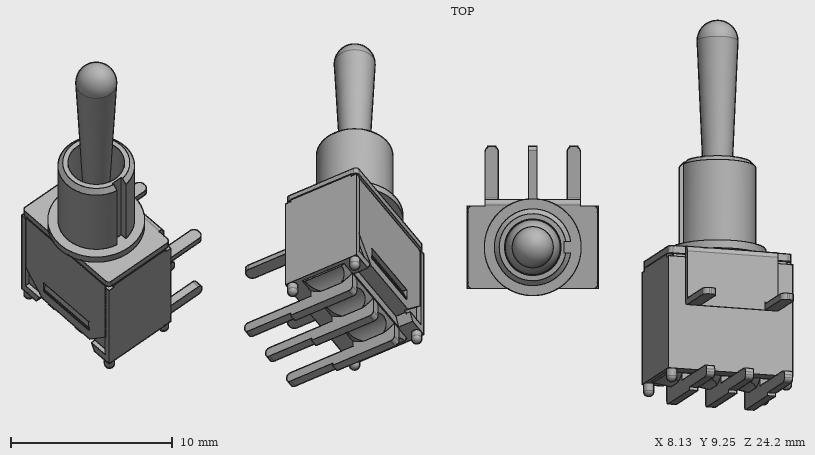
import cadquery as cq
import math


HOUSING_X = 8.13
HOUSING_Y = 5.12
HOUSING_TOP = 7.3
WALL_X = 0.36
CORNER_NOTCH_Y = 0.39
CORNER_NOTCH_Z = 0.2

PANEL_SETBACK = 0.06
PANEL_CHAMFER = CORNER_NOTCH_Z
PANEL_BOTTOM = 0.67
PANEL_BOTTOM_HALF_X = 2.2
PANEL_CORNER_TOP = 2.25
SILL_TOP = 0.59
POCKET_DEPTH = 0.3

NOTCH_DEPTH = 1.0
NOTCH_HALF_X_TOP = 2.38
NOTCH_HALF_X_BOTTOM = 2.7

WINDOW_X = 4.2
WINDOW_BOTTOM = 1.46
WINDOW_TOP = 2.27
LATCH_LIP_Z = 0.16
LATCH_LIP_SETBACK = 0.05
LATCH_RAMP_RUN = 0.25

PLATE_X = 8.0
PLATE_THICKNESS = 0.46
PLATE_CORNER_RADIUS = 0.25
PLATE_TOP = HOUSING_TOP + PLATE_THICKNESS

WASHER_DIAMETER = 6.0
WASHER_THICKNESS = 0.5
WASHER_TOP = PLATE_TOP + WASHER_THICKNESS
BUSHING_DIAMETER = 4.75
BUSHING_TOP = 13.8
BUSHING_CHAMFER = 0.3
BORE_DIAMETER = 3.5
KEYWAY_WIDTH = 0.72
KEYWAY_FLOOR_X = 1.92

PIVOT_DIAMETER = 3.4
LEVER_TIP_DIAMETER = 2.55
LEVER_NECK_DIAMETER = 1.5
OVERALL_HEIGHT = 24.23

PIN_DIAMETER = 0.65
PIN_LENGTH = 0.8

TERMINAL_PITCH = 2.54
TERMINAL_THICKNESS = 0.54
TERMINAL_END_Y = 6.25
TERMINAL_FRONT_Y = -1.51
TERMINAL_RISER_Y = 1.48
TERMINAL_STEP_Y = 2.95
TERMINAL_BOTTOM = -1.41
TERMINAL_LEG_TOP = -0.48
TERMINAL_LEG_BOTTOM = -1.22
TERMINAL_ROUND = 0.28

SEAL_HALF_Y = 1.5
SEAL_CREST = 0.55
SEAL_ARCH_DEPTH = 0.14
SEAL_ARCH_RADIUS = 1.8

BRACKET_THICKNESS = 0.4
BRACKET_X = 5.92
BRACKET_LEG_WIDTH = 0.84
BRACKET_LEG_BOTTOM = 4.0
BRACKET_INNER_RADIUS = 0.1
BRACKET_TOP_RADIUS = 0.36
BRACKET_TIP_ROUND = 0.36

HALF_X = HOUSING_X / 2
HALF_Y = HOUSING_Y / 2
FRONT_Y = -HALF_Y
PANEL_Y = FRONT_Y + PANEL_SETBACK
PANEL_HALF_X = HALF_X - WALL_X
SIGNS = (-1, 1)


def box(x_range, y_range, z_range):
    """Axis-aligned box from its (low, high) limits along each axis."""
    (x0, x1), (y0, y1), (z0, z1) = x_range, y_range, z_range
    return cq.Workplane("XY").box(x1 - x0, y1 - y0, z1 - z0, centered=False).translate((x0, y0, z0))


def front_prism(points, y_start, depth):
    """Outline of (x, z) points extruded toward +Y from y_start."""
    return cq.Workplane("XZ", origin=(0, y_start, 0)).polyline(points).close().extrude(-depth)


def side_prism(points, x_center, width):
    """Outline of (y, z) points extruded along X, centred on x_center."""
    start = x_center - width / 2
    return cq.Workplane("YZ", origin=(start, 0, 0)).polyline(points).close().extrude(width)


def disc(diameter, z_bottom, z_top):
    return cq.Workplane("XY", origin=(0, 0, z_bottom)).circle(diameter / 2).extrude(z_top - z_bottom)


def make_housing():
    housing = box((-HALF_X, HALF_X), (-HALF_Y, HALF_Y), (0, HOUSING_TOP))
    notch_bottom = HOUSING_TOP - CORNER_NOTCH_Z

    for x_sign in SIGNS:
        for y_sign in SIGNS:
            notch = box(
                (-WALL_X, WALL_X), (-CORNER_NOTCH_Y, CORNER_NOTCH_Y), (notch_bottom, HOUSING_TOP)
            )
            housing = housing.cut(notch.translate((x_sign * HALF_X, y_sign * HALF_Y, 0)))

    housing = housing.cut(
        box((-PANEL_HALF_X, PANEL_HALF_X), (FRONT_Y, PANEL_Y), (SILL_TOP, HOUSING_TOP))
    )

    for inward, face_y in ((1, PANEL_Y), (-1, HALF_Y)):
        slope = [
            (face_y, notch_bottom),
            (face_y, HOUSING_TOP),
            (face_y + inward * PANEL_CHAMFER, HOUSING_TOP),
        ]
        housing = housing.cut(side_prism(slope, 0, 2 * PANEL_HALF_X))

    for sign in SIGNS:
        corner = [
            (sign * PANEL_HALF_X, SILL_TOP),
            (sign * PANEL_HALF_X, PANEL_CORNER_TOP),
            (sign * PANEL_BOTTOM_HALF_X, PANEL_BOTTOM),
            (sign * NOTCH_HALF_X_TOP, SILL_TOP),
        ]
        housing = housing.cut(front_prism(corner, FRONT_Y, POCKET_DEPTH))

    opening = [
        (-NOTCH_HALF_X_BOTTOM, 0),
        (-NOTCH_HALF_X_TOP, PANEL_BOTTOM),
        (NOTCH_HALF_X_TOP, PANEL_BOTTOM),
        (NOTCH_HALF_X_BOTTOM, 0),
    ]
    return housing.cut(front_prism(opening, FRONT_Y, NOTCH_DEPTH))


def make_latch_window():
    """Cutter for the window that leaves a sloping latch ramp standing inside it."""
    lip_y = PANEL_Y + LATCH_LIP_SETBACK
    ramp_bottom = WINDOW_BOTTOM + LATCH_LIP_Z
    profile = [
        (FRONT_Y, WINDOW_BOTTOM),
        (lip_y, WINDOW_BOTTOM),
        (lip_y, ramp_bottom),
        (lip_y + LATCH_RAMP_RUN, WINDOW_TOP),
        (FRONT_Y, WINDOW_TOP),
    ]
    return side_prism(profile, 0, WINDOW_X)


def make_top_plate():
    plate = box((-PLATE_X / 2, PLATE_X / 2), (-HALF_Y, HALF_Y), (HOUSING_TOP, PLATE_TOP))
    return plate.edges("|Z").fillet(PLATE_CORNER_RADIUS)


def make_bushing():
    bushing = disc(BUSHING_DIAMETER, WASHER_TOP, BUSHING_TOP).faces(">Z").chamfer(BUSHING_CHAMFER)
    bushing = bushing.cut(disc(BORE_DIAMETER, WASHER_TOP, BUSHING_TOP))
    keyway = box(
        (KEYWAY_FLOOR_X, BUSHING_DIAMETER),
        (-KEYWAY_WIDTH / 2, KEYWAY_WIDTH / 2),
        (WASHER_TOP, BUSHING_TOP),
    )
    return bushing.cut(keyway).union(disc(WASHER_DIAMETER, PLATE_TOP, WASHER_TOP))


def make_lever():
    """Tapered lever with a round tip, standing on a half-ball pivot."""
    tip_radius = LEVER_TIP_DIAMETER / 2
    pivot_radius = PIVOT_DIAMETER / 2
    lever_top = OVERALL_HEIGHT + TERMINAL_BOTTOM
    tip_center = lever_top - tip_radius
    neck_radius = LEVER_NECK_DIAMETER / 2
    neck_z = WASHER_TOP + math.sqrt(pivot_radius**2 - neck_radius**2)
    diagonal = math.sqrt(0.5)
    mid_angle = math.acos(neck_radius / pivot_radius) / 2
    profile = (
        cq.Workplane("XZ")
        .moveTo(0, PLATE_TOP)
        .lineTo(pivot_radius, PLATE_TOP)
        .lineTo(pivot_radius, WASHER_TOP)
        .threePointArc(
            (pivot_radius * math.cos(mid_angle), WASHER_TOP + pivot_radius * math.sin(mid_angle)),
            (neck_radius, neck_z),
        )
        .lineTo(tip_radius, tip_center)
        .threePointArc((tip_radius * diagonal, tip_center + tip_radius * diagonal), (0, lever_top))
        .close()
    )
    return profile.revolve(360, (0, 0, 0), (0, 1, 0))


def make_pin(x, y):
    """Round-ended standoff pin in one corner of the housing."""
    radius = PIN_DIAMETER / 2
    ball_z = radius - PIN_LENGTH
    shank = cq.Workplane("XY", origin=(x, y, ball_z)).circle(radius).extrude(-ball_z)
    return shank.union(cq.Workplane("XY").sphere(radius).translate((x, y, ball_z)))


def make_terminal(x):
    """Stepped flat terminal with rounded ends."""
    outline = [
        (TERMINAL_FRONT_Y, 0),
        (TERMINAL_FRONT_Y, TERMINAL_BOTTOM),
        (TERMINAL_STEP_Y, TERMINAL_BOTTOM),
        (TERMINAL_STEP_Y, TERMINAL_LEG_BOTTOM),
        (TERMINAL_END_Y, TERMINAL_LEG_BOTTOM),
        (TERMINAL_END_Y, TERMINAL_LEG_TOP),
        (TERMINAL_RISER_Y, TERMINAL_LEG_TOP),
        (TERMINAL_RISER_Y, 0),
    ]
    terminal = side_prism(outline, x, TERMINAL_THICKNESS)
    terminal = terminal.faces(">Y").edges("|X").fillet(TERMINAL_ROUND)
    return terminal.edges("|X and <Z").edges("<Y").fillet(TERMINAL_ROUND)


def make_seal():
    """Rounded ridge of resin, hollowed by arches between and beside the terminals."""
    half_x = 1.5 * TERMINAL_PITCH
    seal = (
        cq.Workplane("YZ", origin=(-half_x, 0, 0))
        .moveTo(-SEAL_HALF_Y, 0)
        .threePointArc((0, -SEAL_CREST), (SEAL_HALF_Y, 0))
        .close()
        .extrude(2 * half_x)
    )
    arch_z = -SEAL_ARCH_DEPTH - SEAL_ARCH_RADIUS
    for step in (-1.5, -0.5, 0.5, 1.5):
        arch = (
            cq.Workplane("XZ", origin=(step * TERMINAL_PITCH, -SEAL_HALF_Y, arch_z))
            .circle(SEAL_ARCH_RADIUS)
            .extrude(-2 * SEAL_HALF_Y)
        )
        seal = seal.cut(arch)
    return seal


def make_bracket():
    """Bent plate on the back of the housing with two mounting legs."""
    outer_y = HALF_Y + BRACKET_THICKNESS
    leg_top = BRACKET_LEG_BOTTOM + BRACKET_THICKNESS
    half_x = BRACKET_X / 2

    plate = box((-half_x, half_x), (HALF_Y, outer_y), (BRACKET_LEG_BOTTOM, PLATE_TOP))
    plate = plate.edges("|X and >Y and >Z").fillet(BRACKET_TOP_RADIUS)

    legs_blank = box((-half_x, half_x), (HALF_Y, TERMINAL_END_Y), (BRACKET_LEG_BOTTOM, leg_top))
    bracket = plate.union(legs_blank)
    bracket = bracket.edges("|X and <Y and <Z").fillet(BRACKET_THICKNESS)
    inner_corner = cq.selectors.NearestToPointSelector((0, outer_y, leg_top))
    bracket = bracket.edges("|X").edges(inner_corner).fillet(BRACKET_INNER_RADIUS)

    gap_half_x = half_x - BRACKET_LEG_WIDTH
    gap = box((-gap_half_x, gap_half_x), (outer_y, TERMINAL_END_Y), (BRACKET_LEG_BOTTOM, PLATE_TOP))
    return bracket.cut(gap).faces(">Y").edges("|Z").fillet(BRACKET_TIP_ROUND)


result = make_housing().cut(make_latch_window())
result = result.union(make_top_plate()).union(make_bushing()).union(make_lever())
for x_side in SIGNS:
    for y_side in SIGNS:
        pin_x = x_side * (HALF_X - PIN_DIAMETER / 2)
        pin_y = y_side * (HALF_Y - PIN_DIAMETER / 2)
        result = result.union(make_pin(pin_x, pin_y))
for index in (-1, 0, 1):
    result = result.union(make_terminal(index * TERMINAL_PITCH))
result = result.union(make_seal()).union(make_bracket())